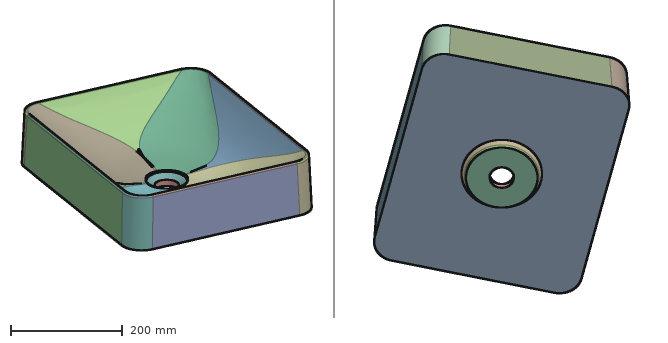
import cadquery as cq
import math

length = 450
width = 380.0
height = 117
boss_height = 13.0
side_draft = 2
corner_radius = 40.5

rim_width = 6.0
outer_rim_round = 2.5
inner_rim_round = 2.0

bowl_floor = 24.0
drain_rim_radius = 38.2
drain_rim_round = 2.5
drain_cone_radius = 36.5
drain_hole_radius = 21.5
drain_hole_top = 12.5

boss_bottom_radius = 64.0
boss_step_radius = 66.5
boss_step_height = 5.0
boss_top_radius = 72

wall_height = height - boss_height
lean = wall_height * math.tan(math.radians(side_draft))
bowl_half_length = length / 2 - lean - rim_width
bowl_half_width = width / 2 - lean - rim_width
bowl_corner_radius = corner_radius - rim_width

bowl_contours = [
    (bowl_floor, drain_rim_radius, drain_rim_radius, drain_rim_radius - 0.5),
    (28.0, 67.5, 65.0, 64.0),
    (33.5, 102.5, 94.5, 92.2),
    (53.0, 147.5, 131.5, 99),
    (84.0, 185.5, 159.5, 67.5),
    (height, bowl_half_length, bowl_half_width, bowl_corner_radius),
]


def outline_wire(half_length, half_width, radius, level):
    """Rounded rectangle centred on the Z axis at the given height."""
    inner_x = half_length - radius
    inner_y = half_width - radius
    diagonal = radius * math.sqrt(0.5)
    outline = cq.Workplane("XY", origin=(0, 0, level)).moveTo(-inner_x, -half_width)
    outline = outline.lineTo(inner_x, -half_width)
    outline = outline.threePointArc((inner_x + diagonal, -inner_y - diagonal), (half_length, -inner_y))
    outline = outline.lineTo(half_length, inner_y)
    outline = outline.threePointArc((inner_x + diagonal, inner_y + diagonal), (inner_x, half_width))
    outline = outline.lineTo(-inner_x, half_width)
    outline = outline.threePointArc((-inner_x - diagonal, inner_y + diagonal), (-half_length, inner_y))
    outline = outline.lineTo(-half_length, -inner_y)
    outline = outline.threePointArc((-inner_x - diagonal, -inner_y - diagonal), (-inner_x, -half_width))
    return outline.close().val()


def make_body():
    bottom = outline_wire(length / 2, width / 2, corner_radius, boss_height)
    top = outline_wire(length / 2 - lean, width / 2 - lean, corner_radius, height)
    body = cq.Workplane(cq.Solid.makeLoft([bottom, top], True))
    return body.faces(">Z").edges().fillet(outer_rim_round)


def make_bowl():
    wires = [outline_wire(x, y, radius, level) for level, x, y, radius in bowl_contours]
    return cq.Workplane(cq.Solid.makeLoft(wires))


def make_boss():
    profile = (
        cq.Workplane("XZ")
        .lineTo(boss_bottom_radius, 0)
        .lineTo(boss_step_radius, boss_step_height)
        .lineTo(boss_top_radius, boss_height)
        .lineTo(0, boss_height)
        .close()
    )
    return profile.revolve(360, (0, 0), (0, 1))


def make_drain():
    """Rounded mouth, a cone narrowing downwards and a straight through hole."""
    mouth_depth = bowl_floor - drain_rim_round
    profile = (
        cq.Workplane("XZ")
        .lineTo(drain_hole_radius, 0)
        .lineTo(drain_hole_radius, drain_hole_top)
        .lineTo(drain_cone_radius, mouth_depth)
        .lineTo(drain_rim_radius, bowl_floor)
        .lineTo(0, bowl_floor)
        .close()
    )
    return profile.revolve(360, (0, 0), (0, 1))


def round_inner_rim(basin):
    inner_edges = basin.faces(">Z").val().innerWires()[0].Edges()
    return basin.newObject(inner_edges).fillet(inner_rim_round)


result = round_inner_rim(make_body().cut(make_bowl()))
result = result.union(make_boss()).cut(make_drain())